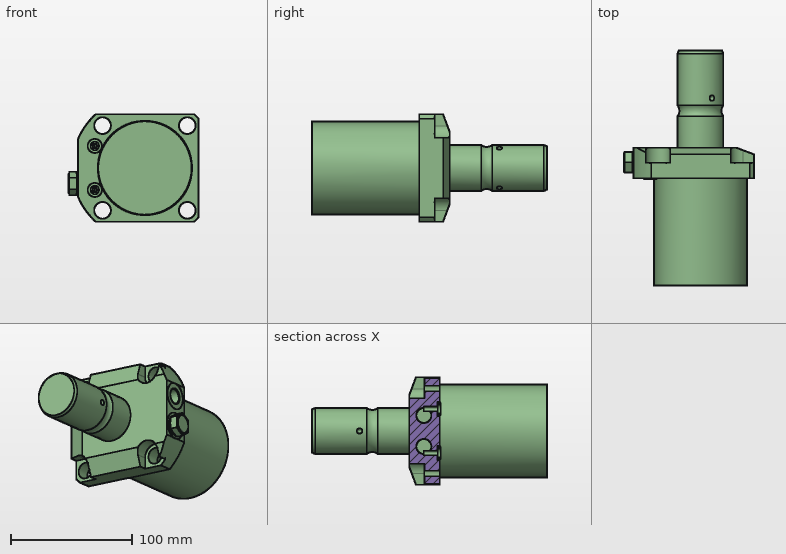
import cadquery as cq
import math


overall_width = 107.7
overall_length = 194.3
overall_height = 88.8

barrel_length = 88.6
barrel_radius = 38.5
relief_radius = 39.0
relief_depth = 0.4

flange_thickness = 25.5
flange_half_width = overall_height / 2
flange_left = -55.4
flange_turned_radius = 60.2
corner_chamfer = 3.5
bevel_start = 29.3
bevel_drop = 5.6

bolt_offset = 35.0
bolt_hole_diameter = 13.6
pocket_radius = 10.1
pocket_floor = 12.8

rod_tip = overall_length - barrel_length
rod_radius = 19.0
rod_tip_chamfer_length = 2.7
rod_tip_chamfer_depth = 1.2
groove_start = 54.6
groove_end = 45.5
groove_depth = 1.5
seat_distance = 39.5
seat_diameter = 4.7
seat_depth = 2.0
seat_count = 3
first_seat_angle = 60

flange_side_to_passage = 14.0
port_y = 13.2
port_z = 12.8
port_diameter = 12.2
port_mouth_diameter = 13.5
port_depth = flange_side_to_passage
spotface_diameter = 22.2
spotface_depth = 0.2

plug_end = flange_half_width - overall_width
plug_neck_diameter = 17.0
plug_neck_length = 1.0
hex_across_flats = 17.1
collar_end_diameter = 14.8
collar_length = 0.5

passage_x = flange_left + flange_side_to_passage
passage_spacing = 36.3
passage_z = passage_spacing / 2
passage_diameter = 3.7
passage_depth = port_y
ring_radius = 4.7
ring_section_radius = 1.2
ring_seat_radius = ring_radius + ring_section_radius
ring_seat_depth = 1.7


def y_cylinder(radius, start, length, x=0, z=0):
    """Cylinder along +Y that begins at Y = start."""
    return cq.Workplane("XZ", origin=(x, start, z)).circle(radius).extrude(-length)


def x_cylinder(radius, start, length, y, z):
    """Cylinder along +X that begins at X = start."""
    return cq.Workplane("YZ", origin=(start, y, z)).circle(radius).extrude(length)


def box_between(low, high):
    """Box given by two opposite corners."""
    size = [b - a for a, b in zip(low, high)]
    return cq.Workplane("XY").box(*size, centered=False).translate(low)


def make_flange_blank():
    """Square flange, turned round at the left corners and chamfered at the right ones."""
    square = box_between(
        (flange_left, 0, -flange_half_width),
        (flange_half_width, flange_thickness, flange_half_width),
    )
    square = square.edges("|Y and >X").chamfer(corner_chamfer)
    return square.intersect(y_cylinder(flange_turned_radius, 0, flange_thickness))


def make_bevel_cutter():
    """Wedge that slopes the back face down towards the +X edge."""
    run = flange_half_width - bevel_start
    slope = bevel_drop / run
    beyond = 2 * run
    return (
        cq.Workplane("XY", origin=(0, 0, -2 * flange_half_width))
        .moveTo(bevel_start, flange_thickness)
        .lineTo(bevel_start + beyond, flange_thickness)
        .lineTo(bevel_start + beyond, flange_thickness - slope * beyond)
        .close()
        .extrude(4 * flange_half_width)
    )


def make_bolt_pocket(x_side, z_side):
    """Bolt head pocket, open to the top or bottom edge and, on the right, to the side."""
    inner = bolt_offset - pocket_radius
    outer = 2 * flange_half_width
    x_limit = outer if x_side > 0 else bolt_offset + pocket_radius
    back = pocket_floor + flange_thickness
    round_end = y_cylinder(pocket_radius, pocket_floor, flange_thickness, bolt_offset, bolt_offset)
    edge_opening = box_between((inner, pocket_floor, bolt_offset), (x_limit, back, outer))
    pocket = round_end.union(edge_opening)
    if x_side > 0:
        pocket = pocket.union(box_between((bolt_offset, pocket_floor, inner), (outer, back, outer)))
    if x_side < 0:
        pocket = pocket.mirror("YZ")
    if z_side < 0:
        pocket = pocket.mirror("XY")
    return pocket


def make_flange():
    flange = make_flange_blank()
    for angle in (-90, 0, 90):
        flange = flange.cut(make_bevel_cutter().rotate((0, 0, 0), (0, 1, 0), angle))
    for x_side in (-1, 1):
        for z_side in (-1, 1):
            flange = flange.cut(make_bolt_pocket(x_side, z_side))
            flange = flange.cut(
                y_cylinder(
                    bolt_hole_diameter / 2,
                    0,
                    flange_thickness,
                    x_side * bolt_offset,
                    z_side * bolt_offset,
                )
            )
    return flange


def make_barrel():
    """Barrel that reaches into the flange to the bottom of the relief around it."""
    return y_cylinder(barrel_radius, -barrel_length, barrel_length + relief_depth)


def make_rod():
    """Turned rod with a chamfered tip, a round groove and conical seats around it."""
    rod = (
        cq.Workplane("XY")
        .moveTo(0, flange_thickness)
        .lineTo(rod_radius, flange_thickness)
        .lineTo(rod_radius, rod_tip - groove_start)
        .threePointArc(
            (rod_radius - groove_depth, rod_tip - (groove_start + groove_end) / 2),
            (rod_radius, rod_tip - groove_end),
        )
        .lineTo(rod_radius, rod_tip - rod_tip_chamfer_length)
        .lineTo(rod_radius - rod_tip_chamfer_depth, rod_tip)
        .lineTo(0, rod_tip)
        .close()
        .revolve(360, (0, 0, 0), (0, 1, 0))
    )
    seat = cq.Workplane(
        cq.Solid.makeCone(
            0,
            seat_diameter,
            2 * seat_depth,
            cq.Vector(rod_radius - seat_depth, rod_tip - seat_distance, 0),
            cq.Vector(1, 0, 0),
        )
    )
    for i in range(seat_count):
        angle = -first_seat_angle - i * 360 / seat_count
        rod = rod.cut(seat.rotate((0, 0, 0), (0, 1, 0), angle))
    return rod


def make_port(z):
    """Spotface, countersunk mouth and bore of one port, as a cutter."""
    mouth_depth = (port_mouth_diameter - port_diameter) / 2
    floor = flange_left + spotface_depth
    mouth = cq.Workplane(
        cq.Solid.makeCone(
            port_mouth_diameter / 2,
            port_diameter / 2,
            mouth_depth,
            cq.Vector(floor, port_y, z),
            cq.Vector(1, 0, 0),
        )
    )
    spotface = x_cylinder(spotface_diameter / 2, flange_left, spotface_depth, port_y, z)
    bore = x_cylinder(port_diameter / 2, flange_left, port_depth, port_y, z)
    return spotface.union(bore).union(mouth)


def make_plug():
    """Hexagon with a tapered end collar, on a round neck that stands on the spotface."""
    hex_end = plug_end + collar_length
    hex_start = flange_left - plug_neck_length
    corner_diameter = hex_across_flats / math.cos(math.pi / 6)
    head = (
        cq.Workplane("YZ", origin=(hex_end, port_y, -port_z))
        .transformed(rotate=(0, 0, 90))
        .polygon(6, corner_diameter)
        .extrude(hex_start - hex_end)
    )
    collar = cq.Workplane(
        cq.Solid.makeCone(
            collar_end_diameter / 2,
            plug_neck_diameter / 2,
            collar_length,
            cq.Vector(plug_end, port_y, -port_z),
            cq.Vector(1, 0, 0),
        )
    )
    neck = x_cylinder(
        plug_neck_diameter / 2, hex_start, plug_neck_length + spotface_depth, port_y, -port_z
    )
    return head.union(collar).union(neck)


def make_passage(z):
    """Oil passage with its sealing ring seat, as a cutter that reaches the port."""
    seat = y_cylinder(ring_seat_radius, 0, ring_seat_depth, passage_x, z)
    bore = y_cylinder(passage_diameter / 2, 0, passage_depth, passage_x, z)
    return seat.union(bore)


def make_housing():
    """Flange with ports and passages, joined to the barrel, the rod and the plug."""
    relief = y_cylinder(relief_radius, 0, relief_depth)
    housing = make_flange().cut(relief).union(make_barrel()).union(make_rod())
    for side in (-1, 1):
        housing = housing.cut(make_port(side * port_z))
        housing = housing.cut(make_passage(side * passage_z))
    return housing.union(make_plug())


def make_sealing_ring(z):
    """Sealing ring lying on the floor of its seat and standing proud of the flange."""
    center_y = ring_seat_depth - ring_section_radius
    return cq.Workplane(
        cq.Solid.makeTorus(
            ring_radius, ring_section_radius, cq.Vector(passage_x, center_y, z), cq.Vector(0, 1, 0)
        )
    )


housing = make_housing()
sealing_rings = [make_sealing_ring(z) for z in (passage_z, -passage_z)]
result = cq.Compound.makeCompound([housing.val(), *[ring.val() for ring in sealing_rings]])